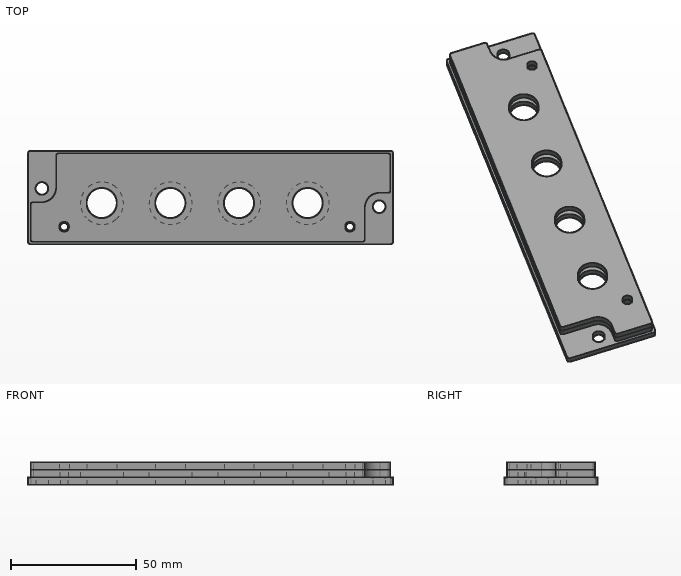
import cadquery as cq

LENGTH = 145.5
WIDTH = 37.2
STACK_HEIGHT = 9.0
PLATE_COUNT = 3
PLATE_THICKNESS = STACK_HEIGHT / PLATE_COUNT

EDGE_INSET = 1.0
CORNER_RADIUS = 1.0
COVER_HALF_LENGTH = LENGTH / 2 - EDGE_INSET
COVER_HALF_WIDTH = WIDTH / 2 - EDGE_INSET

NOTCH_SIDE_X = 61.5
NOTCH_END_Y = 1.9
NOTCH_RADIUS = 5.8

MOUNT_DIAMETER = 5.0
MOUNT_X = 67.2
MOUNT_Y = 3.6
MOUNT_POINTS = [(-MOUNT_X, MOUNT_Y), (MOUNT_X, -MOUNT_Y)]

SWITCH_COUNT = 4
SWITCH_PITCH = 27.4
SWITCH_ROW_X = -2.3
SWITCH_ROW_Y = -2.2
SWITCH_DIAMETER = 12.0
SWITCH_CLEARANCE_DIAMETER = 17.0
SWITCH_POINTS = [
    (SWITCH_ROW_X + (i - (SWITCH_COUNT - 1) / 2) * SWITCH_PITCH, SWITCH_ROW_Y)
    for i in range(SWITCH_COUNT)
]

SCREW_LEFT_X = -58.3
SCREW_RIGHT_X = 55.6
SCREW_Y = -11.6
SCREW_POINTS = [(SCREW_LEFT_X, SCREW_Y), (SCREW_RIGHT_X, SCREW_Y)]
SCREW_DIAMETER_TOP = 4.0
SCREW_DIAMETER_MIDDLE = 3.3
SCREW_DIAMETER_BASE = 3.0


def drill(plate, points, diameter):
    """Cut a round through hole at each point of a plate."""
    return plate.faces(">Z").workplane(origin=(0, 0, 0)).pushPoints(points).hole(diameter)


def make_base_plate():
    """Full-size rectangular plate with the mounting holes."""
    plate = (
        cq.Workplane("XY")
        .rect(LENGTH, WIDTH)
        .extrude(PLATE_THICKNESS)
        .edges("|Z")
        .fillet(CORNER_RADIUS)
    )
    plate = drill(plate, MOUNT_POINTS, MOUNT_DIAMETER)
    plate = drill(plate, SWITCH_POINTS, SWITCH_DIAMETER)
    return drill(plate, SCREW_POINTS, SCREW_DIAMETER_BASE)


def make_cover_blank(bottom_z):
    """Upper plate without holes: an inset rectangle notched at two opposite corners."""
    outline = [
        (-COVER_HALF_LENGTH, -COVER_HALF_WIDTH),
        (NOTCH_SIDE_X, -COVER_HALF_WIDTH),
        (NOTCH_SIDE_X, NOTCH_END_Y),
        (COVER_HALF_LENGTH, NOTCH_END_Y),
        (COVER_HALF_LENGTH, COVER_HALF_WIDTH),
        (-NOTCH_SIDE_X, COVER_HALF_WIDTH),
        (-NOTCH_SIDE_X, -NOTCH_END_Y),
        (-COVER_HALF_LENGTH, -NOTCH_END_Y),
    ]
    blank = cq.Workplane("XY", origin=(0, 0, bottom_z)).polyline(outline).close().extrude(PLATE_THICKNESS)
    inner_corners = cq.selectors.BoxSelector(
        (-NOTCH_SIDE_X - CORNER_RADIUS, -NOTCH_END_Y - CORNER_RADIUS, bottom_z),
        (NOTCH_SIDE_X + CORNER_RADIUS, NOTCH_END_Y + CORNER_RADIUS, bottom_z + PLATE_THICKNESS),
    )
    outer_corners = cq.selectors.StringSyntaxSelector("|Z") - inner_corners
    blank = blank.edges(outer_corners).fillet(CORNER_RADIUS)
    return blank.edges("|Z").edges(inner_corners).fillet(NOTCH_RADIUS)


def make_middle_plate():
    """Middle plate with wide clearance around each switch."""
    plate = make_cover_blank(PLATE_THICKNESS)
    plate = drill(plate, SWITCH_POINTS, SWITCH_CLEARANCE_DIAMETER)
    return drill(plate, SCREW_POINTS, SCREW_DIAMETER_MIDDLE)


def make_top_plate():
    """Face plate of the stack."""
    plate = make_cover_blank(2 * PLATE_THICKNESS)
    plate = drill(plate, SWITCH_POINTS, SWITCH_DIAMETER)
    return drill(plate, SCREW_POINTS, SCREW_DIAMETER_TOP)


base_plate = make_base_plate()
middle_plate = make_middle_plate()
top_plate = make_top_plate()

result = cq.Compound.makeCompound([base_plate.val(), middle_plate.val(), top_plate.val()])